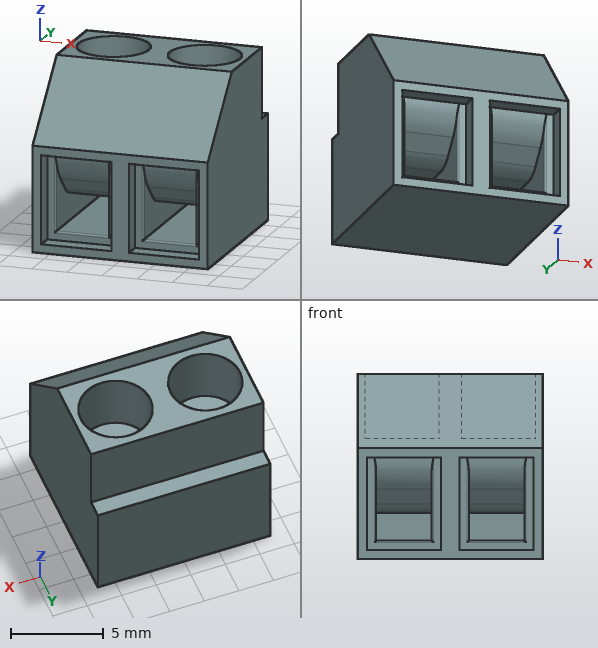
import cadquery as cq
import math

width = 10.0
depth = 10.0
height = 10.0
shoulder_height = 6.0
slope_run = 4.0
ledge_depth = 1.0

well_diameter = 4.0
well_side_wall = 0.4
well_y = 6.5
well_depth = 3.5

entry_width = 4.0
entry_height = 5.0
entry_depth = 1.0
entry_margin = 0.5

chamber_width = 3.0
chamber_floor = 1.0
chamber_end = 9.0
mouth_radius = 0.1

nose_radius = 2.42
ramp_angle = math.radians(45)
tail_radius = 1.65
roof_low = 2.5

entry_top = entry_margin + entry_height
entry_offset = width / 2 - entry_margin - entry_width / 2
entry_centers = [width / 2 - entry_offset, width / 2 + entry_offset]


def make_housing():
    profile = [
        (0, 0),
        (depth, 0),
        (depth, shoulder_height),
        (depth - ledge_depth, shoulder_height),
        (depth - ledge_depth, height),
        (slope_run, height),
        (0, shoulder_height),
    ]
    return cq.Workplane("YZ").polyline(profile).close().extrude(width)


def make_wells():
    well_inset = well_side_wall + well_diameter / 2
    return (
        cq.Workplane("XY", origin=(0, 0, height))
        .pushPoints([(well_inset, well_y), (width - well_inset, well_y)])
        .circle(well_diameter / 2)
        .extrude(-well_depth)
    )


def make_entry(center_x):
    return (
        cq.Workplane("XY")
        .box(entry_width, entry_depth, entry_height, centered=(True, False, False))
        .translate((center_x, 0, entry_margin))
    )


def make_roof_space():
    """Space under the chamber roof, spanning the full housing width."""

    def nose_point(angle):
        return (
            entry_depth + nose_radius * (1 - math.cos(angle)),
            entry_top - nose_radius * math.sin(angle),
        )

    ramp_start = nose_point(ramp_angle)
    ramp_end_z = roof_low + tail_radius * (1 - math.sin(ramp_angle))
    ramp_end_y = ramp_start[0] + (ramp_start[1] - ramp_end_z) * math.tan(ramp_angle)

    def tail_point(angle):
        return (
            ramp_end_y + tail_radius * (math.cos(ramp_angle) - math.cos(angle)),
            roof_low + tail_radius * (1 - math.sin(angle)),
        )

    tail_middle_angle = (ramp_angle + math.pi / 2) / 2
    return (
        cq.Workplane("YZ")
        .moveTo(entry_depth, 0)
        .lineTo(entry_depth, entry_top)
        .threePointArc(nose_point(ramp_angle / 2), ramp_start)
        .lineTo(ramp_end_y, ramp_end_z)
        .threePointArc(tail_point(tail_middle_angle), tail_point(math.pi / 2))
        .lineTo(chamber_end, roof_low)
        .lineTo(chamber_end, 0)
        .close()
        .extrude(width)
    )


def make_chamber(center_x):
    tunnel_height = entry_top - chamber_floor
    tunnel = (
        cq.Workplane("XY")
        .box(chamber_width, chamber_end - entry_depth, tunnel_height, centered=(True, False, False))
        .translate((center_x, entry_depth, chamber_floor))
    )
    slab = cq.Workplane("XZ", origin=(center_x, entry_depth, entry_top)).rect(width, 2 * height)
    slab = slab.extrude(-2 * mouth_radius)
    collar = (
        slab.faces("<Y")
        .workplane(centerOption="CenterOfBoundBox")
        .rect(chamber_width, 2 * tunnel_height)
        .cutThruAll()
    )
    collar = collar.newObject([collar.faces("<Y").val().innerWires()[0]]).edges().fillet(mouth_radius)
    return tunnel.union(slab.cut(collar)).intersect(make_roof_space())


result = make_housing().cut(make_wells())
for center_x in entry_centers:
    result = result.cut(make_entry(center_x)).cut(make_chamber(center_x))